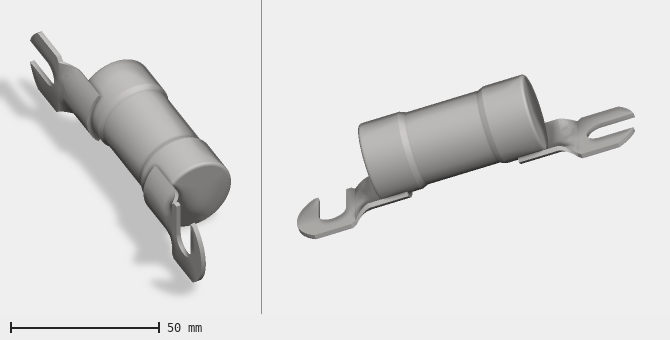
import cadquery as cq
import math


cap_radius = 13.515
cap_wall = 0.87
body_radius = cap_radius - cap_wall
cap_end_x = 29.4
cap_edge_fillet = 1.1
cap_straight_end_x = 14.95
cap_mouth_x = 12.8
body_end_x = cap_end_x - cap_wall

tag_thickness = 1.66
saddle_outer_radius = cap_radius + tag_thickness
saddle_half_angle = math.radians(44.5)
saddle_inner_x = 19.65
left_saddle_outer_x = 33.85
right_saddle_outer_x = 33.4
transition_steps = 4
transition_power = 1.5
blade_root_x = 39.5
blade_root_half_width = 11.2
blade_half_width = 12.83
blade_shoulder_x = 40.85
blade_tip_x = 60.21
blade_tip_radius = 16.3
slot_width = 9.8
slot_center_x = 47.6


def make_body():
    profile = cq.Workplane("XZ").rect(2 * body_end_x, body_radius, centered=(True, False))
    return profile.revolve(360, (0, 0, 0), (1, 0, 0))


def make_cap():
    """Cup on the +X end, closed at the outside and tapering onto the body at its mouth."""
    fillet_mid = cap_edge_fillet * math.sqrt(0.5)
    profile = (
        cq.Workplane("XZ")
        .moveTo(cap_mouth_x, body_radius)
        .lineTo(cap_straight_end_x, cap_radius)
        .lineTo(cap_end_x - cap_edge_fillet, cap_radius)
        .threePointArc(
            (cap_end_x - cap_edge_fillet + fillet_mid, cap_radius - cap_edge_fillet + fillet_mid),
            (cap_end_x, cap_radius - cap_edge_fillet),
        )
        .lineTo(cap_end_x, 0)
        .lineTo(body_end_x, 0)
        .lineTo(body_end_x, body_radius)
        .close()
    )
    return profile.revolve(360, (0, 0, 0), (1, 0, 0))


def tag_section(x, flattening):
    """Section of a tag at x: the ring sector of the saddle at 0, the flat strip of the blade at 1."""

    def corner(radius, side):
        curved_y = -radius * math.cos(saddle_half_angle)
        curved_z = radius * math.sin(saddle_half_angle)
        y = curved_y + flattening * (-radius - curved_y)
        z = curved_z + flattening * (blade_root_half_width - curved_z)
        return (y, side * z)

    sketch = cq.Workplane("YZ", origin=(x, 0, 0)).moveTo(*corner(cap_radius, -1))
    if flattening < 1:
        sketch = sketch.threePointArc((-cap_radius, 0), corner(cap_radius, 1))
    else:
        sketch = sketch.lineTo(*corner(cap_radius, 1))
    sketch = sketch.lineTo(*corner(saddle_outer_radius, 1))
    if flattening < 1:
        sketch = sketch.threePointArc((-saddle_outer_radius, 0), corner(saddle_outer_radius, -1))
    else:
        sketch = sketch.lineTo(*corner(saddle_outer_radius, -1))
    return sketch.close()


def make_transition(saddle_outer_x):
    """Piece that leaves the saddle smoothly and flattens into the blade."""
    wires = []
    for step in range(transition_steps + 1):
        progress = step / transition_steps
        x = saddle_outer_x + progress * (blade_root_x - saddle_outer_x)
        wires.append(tag_section(x, progress**transition_power).wires().val())
    return cq.Workplane(cq.Solid.makeLoft(wires))


def make_blade():
    """Flat plate with tapered shoulders and a round tip, still without its slot."""
    tip_center_x = blade_tip_x - blade_tip_radius
    tip_corner_x = tip_center_x + math.sqrt(blade_tip_radius**2 - blade_half_width**2)
    return (
        cq.Workplane("XZ", origin=(0, -cap_radius, 0))
        .moveTo(blade_root_x, -blade_root_half_width)
        .lineTo(blade_shoulder_x, -blade_half_width)
        .lineTo(tip_corner_x, -blade_half_width)
        .threePointArc((blade_tip_x, 0), (tip_corner_x, blade_half_width))
        .lineTo(blade_shoulder_x, blade_half_width)
        .lineTo(blade_root_x, blade_root_half_width)
        .close()
        .extrude(tag_thickness)
    )


def make_slot(opening_angle):
    """Open-ended slot cutter; it runs toward +X at 0 degrees and toward +Z at 90 degrees."""
    slot_length = blade_half_width + slot_width
    plane = cq.Workplane("XZ", origin=(slot_center_x, -cap_radius, 0))
    round_end = plane.circle(slot_width / 2).extrude(tag_thickness)
    channel = plane.center(slot_length / 2, 0).rect(slot_length, slot_width).extrude(tag_thickness)
    cutter = round_end.union(channel)
    slot_center = cq.Vector(slot_center_x, 0, 0)
    return cutter.rotate(slot_center, slot_center - cq.Vector(0, 1, 0), opening_angle)


def make_tag(saddle_outer_x, slot_opening_angle):
    """Tag on the +X end, joined from saddle, transition and slotted blade."""
    saddle = tag_section(saddle_inner_x, 0).extrude(saddle_outer_x - saddle_inner_x)
    blade = make_blade().cut(make_slot(slot_opening_angle))
    return saddle.union(make_transition(saddle_outer_x)).union(blade)


def place_on_side(part, side):
    """Keep a part on the +X end for side 1, or mirror it to the -X end for side -1."""
    return part if side > 0 else part.mirror("YZ")


body = make_body()

caps = []
for side in (-1, 1):
    caps.append(place_on_side(make_cap(), side).val())

tags = []
for side, saddle_outer_x, slot_opening_angle in (
    (-1, left_saddle_outer_x, 0),
    (1, right_saddle_outer_x, 90),
):
    tags.append(place_on_side(make_tag(saddle_outer_x, slot_opening_angle), side).val())

result = cq.Compound.makeCompound([body.val(), *caps, *tags])